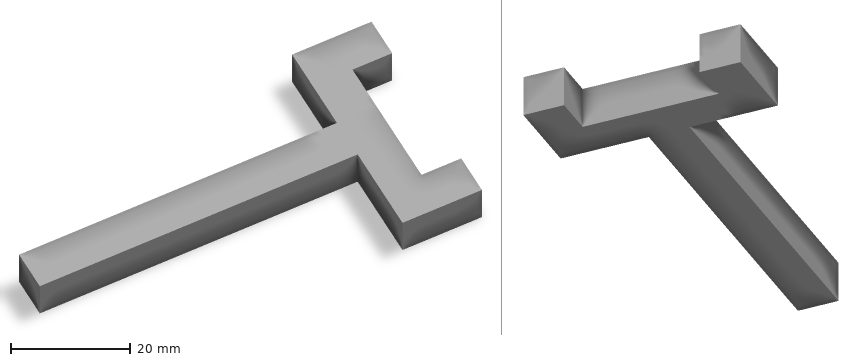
import cadquery as cq

total_length = 75.0
head_width = 40.0
bar_size = 7.5
prong_length = 7.5

stem_length = total_length - bar_size - prong_length
prong_offset = (head_width - bar_size) / 2


def block(width, length, x_center, y_start):
    """Block of the common thickness, starting at y_start and resting on Z = 0."""
    return (
        cq.Workplane("XY")
        .center(x_center, y_start + length / 2)
        .rect(width, length)
        .extrude(bar_size)
    )


stem = block(bar_size, stem_length, 0, 0)
crossbar = block(head_width, bar_size, 0, stem_length)
result = stem.union(crossbar)

for side in (-1, 1):
    prong = block(bar_size, prong_length, side * prong_offset, stem_length + bar_size)
    result = result.union(prong)

result = result.clean()